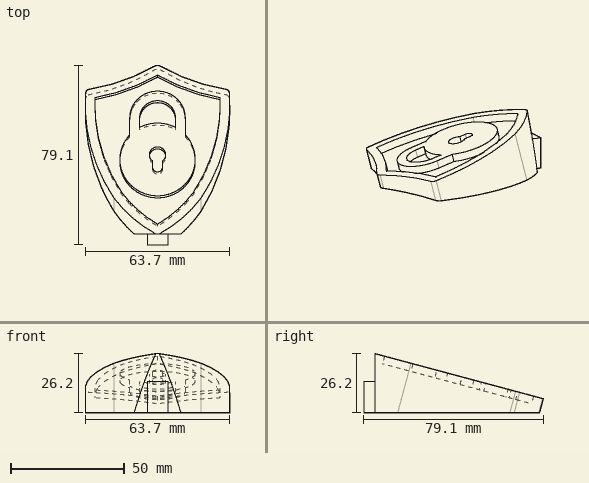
import cadquery as cq
import math

SLOPE = 15.0
FRONT_HEIGHT = 26.19

SHOULDER_U = 31.6
TIP_V = -0.4
KNEE = (19.25, 16.5)
SHOULDER_V = 65.8
APEX_V = 77.4
LOWER_SIDE_RADIUS = 58.0
UPPER_SIDE_RADIUS = 79.0
TOP_EDGE_RADIUS = 82.0
SHOULDER_ROUNDING = 2.0
APEX_ROUNDING = 3.0

RIM_WIDTH = 4.25
RECESS_DEPTH = 3.5

BODY_V = 34.0
BODY_RADIUS = 16.6
SHACKLE_V = 52.9
SHACKLE_OUTER_RADIUS = 12.25
SHACKLE_INNER_RADIUS = 7.9
KEYHOLE_V = 36.15
KEYHOLE_RADIUS = 3.6
KEYSLOT_WIDTH = 4.3
KEYSLOT_BOTTOM_V = 28.3

TAB_WIDTH = 9.1
TAB_LENGTH = 4.87
TAB_HEIGHT = 13.9
TAB_OFFSET = 0.1

CLEAR = 200.0

SLOPE_NORMAL = (0, math.sin(math.radians(SLOPE)), math.cos(math.radians(SLOPE)))
top_plane = cq.Plane(origin=(0, 0, FRONT_HEIGHT), xDir=(1, 0, 0), normal=SLOPE_NORMAL)


def on_top():
    return cq.Workplane(top_plane)


def shield_outline():
    """Closed shield with sharp corners, drawn clockwise from the tip."""
    knee_u, knee_v = KNEE
    return (
        on_top()
        .moveTo(0, TIP_V)
        .radiusArc((-knee_u, knee_v), LOWER_SIDE_RADIUS)
        .radiusArc((-SHOULDER_U, SHOULDER_V), UPPER_SIDE_RADIUS)
        .radiusArc((0, APEX_V), -TOP_EDGE_RADIUS)
        .radiusArc((SHOULDER_U, SHOULDER_V), -TOP_EDGE_RADIUS)
        .radiusArc((knee_u, knee_v), UPPER_SIDE_RADIUS)
        .radiusArc((0, TIP_V), LOWER_SIDE_RADIUS)
        .close()
    )


def edge_at(u, v):
    """Selects the prism's corner edge that runs down from (u, v), by its midpoint."""
    midpoint = top_plane.toWorldCoords((u, v, -CLEAR / 2))
    return cq.selectors.NearestToPointSelector(midpoint.toTuple())


def wedge():
    prism = shield_outline().extrude(-CLEAR)
    for side in (-1, 1):
        prism = prism.edges(edge_at(side * SHOULDER_U, SHOULDER_V)).fillet(SHOULDER_ROUNDING)
    prism = prism.edges(edge_at(0, APEX_V)).fillet(APEX_ROUNDING)
    kept_space = cq.Workplane("XY").box(CLEAR, CLEAR, CLEAR, centered=(True, False, False))
    return prism.intersect(kept_space)


def arch(radius):
    """Slab with a round top at the shackle centre and straight legs down to the body centre."""
    return (
        on_top()
        .moveTo(-radius, BODY_V)
        .lineTo(-radius, SHACKLE_V)
        .threePointArc((0, SHACKLE_V + radius), (radius, SHACKLE_V))
        .lineTo(radius, BODY_V)
        .close()
        .extrude(-RECESS_DEPTH)
    )


def disc(v, radius):
    return on_top().center(0, v).circle(radius).extrude(-RECESS_DEPTH)


def keyhole():
    slot_length = KEYHOLE_V - KEYSLOT_BOTTOM_V + KEYSLOT_WIDTH / 2
    slot_middle = KEYSLOT_BOTTOM_V + slot_length / 2
    slot = on_top().center(0, slot_middle).slot2D(slot_length, KEYSLOT_WIDTH, 90).extrude(-RECESS_DEPTH)
    return disc(KEYHOLE_V, KEYHOLE_RADIUS).union(slot)


def padlock():
    shackle = arch(SHACKLE_OUTER_RADIUS).cut(arch(SHACKLE_INNER_RADIUS))
    return shackle.union(disc(BODY_V, BODY_RADIUS)).cut(keyhole())


def recess():
    return shield_outline().offset2D(-RIM_WIDTH, "intersection").extrude(-RECESS_DEPTH).cut(padlock())


def tab():
    return (
        cq.Workplane("XY")
        .center(TAB_OFFSET, 0)
        .box(TAB_WIDTH, 2 * TAB_LENGTH, TAB_HEIGHT, centered=(True, True, False))
    )


result = wedge().cut(recess()).union(tab())